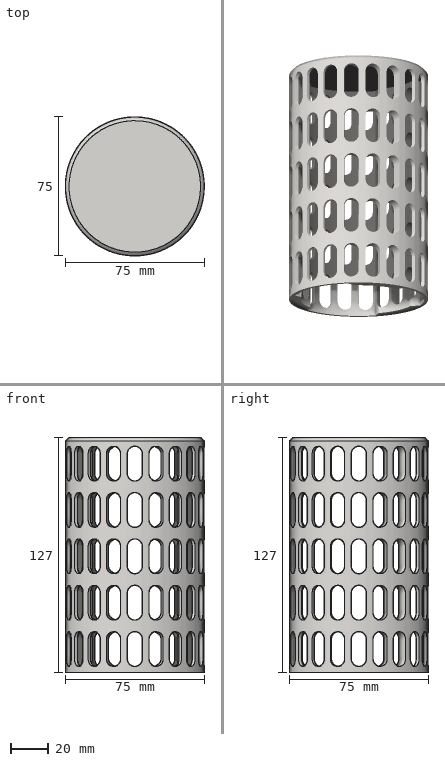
import cadquery as cq
outer_diameter = 75.0
height = 127
wall = 2.0
cap_thickness = 2.0
rim_chamfer = 2.0

core_diameter = 62.7
pocket_count = 3
pocket_width = 38.7
first_pocket_angle = 90

slot_width = 8.0
slot_length = 18.7
slots_per_row = 20
row_count = 5
row_pitch = 25.0
first_row_z = 12.7
cut_margin = 1.3

outer_radius = outer_diameter / 2
inner_radius = outer_radius - wall
cavity_depth = height - cap_thickness
slot_start_radius = core_diameter / 2 - cut_margin
slot_end_radius = outer_radius + cut_margin


def make_body():
    """Solid cylinder with a chamfered top rim."""
    return cq.Workplane("XY").circle(outer_radius).extrude(height).faces(">Z").chamfer(rim_chamfer)


def make_cavity():
    """Core bore plus the pockets, leaving three thick wall pads and the closed top."""
    cavity = cq.Workplane("XY").circle(core_diameter / 2).extrude(cavity_depth)
    pocket_limit = cq.Workplane("XY").circle(inner_radius).extrude(cavity_depth)
    for i in range(pocket_count):
        angle = first_pocket_angle + i * 360 / pocket_count
        pocket = (
            cq.Workplane("XY")
            .box(outer_radius, pocket_width, cavity_depth, centered=(False, True, False))
            .rotate((0, 0, 0), (0, 0, 1), angle)
            .intersect(pocket_limit)
        )
        cavity = cavity.union(pocket)
    return cavity


def make_slots():
    """All slot cutters: radial bars with round ends that reach through the wall."""
    cutters = []
    for row in range(row_count):
        bar = (
            cq.Workplane("YZ", origin=(slot_start_radius, 0, first_row_z + row * row_pitch))
            .slot2D(slot_length, slot_width, 90)
            .extrude(slot_end_radius - slot_start_radius)
        )
        for i in range(slots_per_row):
            angle = i * 360 / slots_per_row
            cutters.append(bar.rotate((0, 0, 0), (0, 0, 1), angle).val())
    return cq.Compound.makeCompound(cutters)


result = make_body().cut(make_cavity()).cut(cq.Workplane(make_slots()))